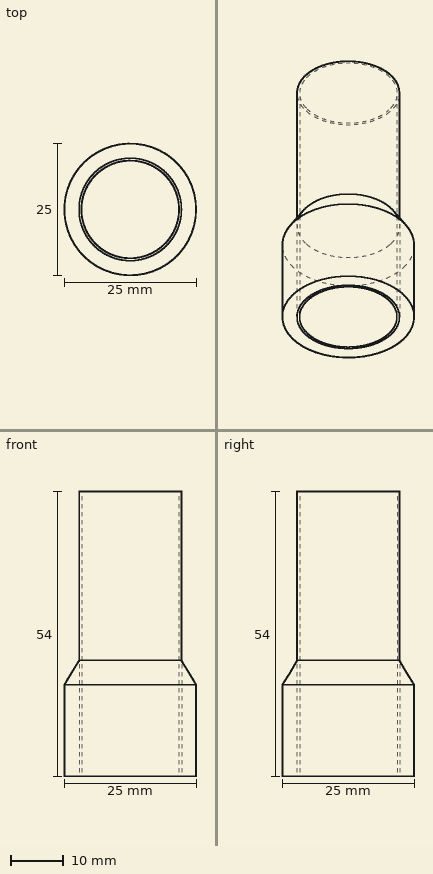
import cadquery as cq

total_length = 54.0
tube_outer_diameter = 19.45
tube_wall = 0.5
collar_diameter = 25.0
collar_straight_height = 17.4
collar_height = 22.0

tube_outer_radius = tube_outer_diameter / 2
tube_inner_radius = tube_outer_radius - tube_wall
collar_radius = collar_diameter / 2


def make_tube():
    """Thin-walled tube running the full length of the ferrule."""
    return (
        cq.Workplane("XY")
        .circle(tube_outer_radius)
        .circle(tube_inner_radius)
        .extrude(total_length)
    )


def make_collar():
    """Insulating collar around the tube, tapering to the tube surface at its top."""
    profile = (
        cq.Workplane("XZ")
        .moveTo(tube_outer_radius, 0)
        .lineTo(collar_radius, 0)
        .lineTo(collar_radius, collar_straight_height)
        .lineTo(tube_outer_radius, collar_height)
        .close()
    )
    return profile.revolve(360, (0, 0, 0), (0, 1, 0))


tube = make_tube()
collar = make_collar()

result = cq.Compound.makeCompound([tube.val(), collar.val()])